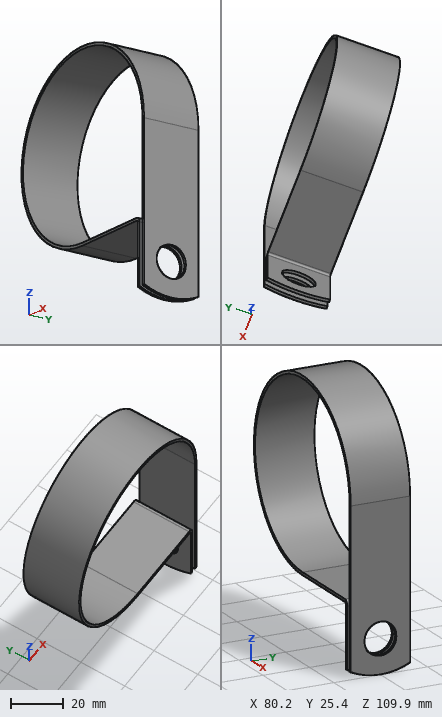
import cadquery as cq
import math

height = 109.9
ring_diameter = 80.2
strap_width = 25.4
thickness = 1.2

leg_gap = 1.6
bend_inner_radius = 1.0
hole_diameter = 13.6
hole_height = 14.4
end_sag = 2.9

outer_radius = ring_diameter / 2
inner_radius = outer_radius - thickness
leg_bottom = outer_radius - height
bend_outer_radius = bend_inner_radius + thickness
short_leg_outer_x = inner_radius - leg_gap
short_leg_inner_x = short_leg_outer_x - thickness
bend_center_x = short_leg_outer_x - bend_outer_radius
bend_center_z = -outer_radius - bend_inner_radius
diagonal = math.sqrt(0.5)


def make_strap():
    """Bent strip: long leg, three-quarter ring, flat floor and short leg."""
    profile = (
        cq.Workplane("XZ")
        .moveTo(outer_radius, leg_bottom)
        .lineTo(outer_radius, 0)
        .threePointArc((-outer_radius * diagonal, outer_radius * diagonal), (0, -outer_radius))
        .lineTo(bend_center_x, -outer_radius)
        .threePointArc(
            (bend_center_x + bend_inner_radius * diagonal, bend_center_z + bend_inner_radius * diagonal),
            (short_leg_inner_x, bend_center_z),
        )
        .lineTo(short_leg_inner_x, leg_bottom)
        .lineTo(short_leg_outer_x, leg_bottom)
        .lineTo(short_leg_outer_x, bend_center_z)
        .threePointArc(
            (bend_center_x + bend_outer_radius * diagonal, bend_center_z + bend_outer_radius * diagonal),
            (bend_center_x, -inner_radius),
        )
        .lineTo(0, -inner_radius)
        .threePointArc((-inner_radius * diagonal, inner_radius * diagonal), (inner_radius, 0))
        .lineTo(inner_radius, leg_bottom)
        .close()
    )
    return profile.extrude(strap_width / 2, both=True)


def make_end_envelope():
    """Block around the strap whose underside rounds the ends of both legs."""
    half_width = strap_width / 2
    corner_z = leg_bottom + end_sag
    return (
        cq.Workplane("YZ")
        .moveTo(-half_width, outer_radius)
        .lineTo(-half_width, corner_z)
        .threePointArc((0, leg_bottom), (half_width, corner_z))
        .lineTo(half_width, outer_radius)
        .close()
        .extrude(outer_radius, both=True)
    )


def make_bolt_hole():
    """Cylinder along X that passes through both legs."""
    return (
        cq.Workplane("YZ")
        .center(0, leg_bottom + hole_height)
        .circle(hole_diameter / 2)
        .extrude(ring_diameter)
    )


result = make_strap().intersect(make_end_envelope()).cut(make_bolt_hole())